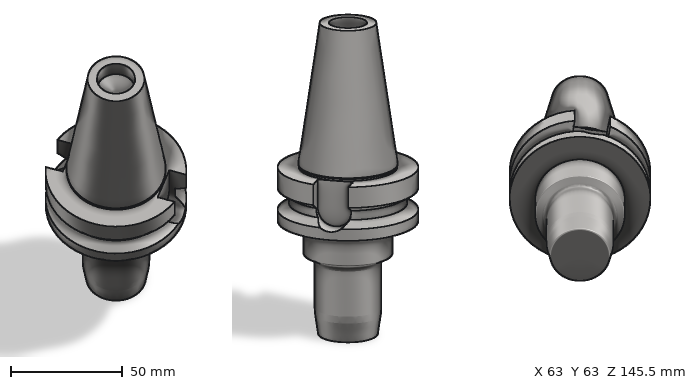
import cadquery as cq
import math


taper_length = 65.5
gauge_radius = 22.2
taper_tip_radius = gauge_radius - taper_length * 7 / 48

neck_radius = 44.0 / 2
gauge_land_bottom = -0.5
neck_top = -1.0
flange_radius = 63.0 / 2
flange_top = -1.9
flange_bottom = -26.9
groove_radius = 26.5
groove_half_width = 5.02
groove_middle = -16.6
groove_floor_half_width = groove_half_width - (flange_radius - groove_radius) * math.tan(math.radians(30))

hub_radius = 40.0 / 2
hub_bottom = -42.2
hub_edge_round = 0.7
shoulder_angle = math.radians(25)
shoulder_round = 2.6
nose_radius = 30.0 / 2
shoulder_bottom = hub_bottom - (hub_radius - nose_radius) * math.tan(shoulder_angle)
nose_cone_top = -68.9
nose_cone_round = 23.3
nose_bottom = -80.0
nose_tip_radius = 13.4
nose_tip_round = 0.9

slot_width = 16.1
slot_face_distance = 22.4
slot_bottom = -23.1

bore_diameter = 17.0
bore_depth = 7.7
seat_diameter = 14.0
seat_depth = 8.3
bottom_half_angle = math.radians(70)


def make_body():
    """Revolved outer shape of the holder."""
    outline = [
        (0, taper_length),
        (taper_tip_radius, taper_length),
        (gauge_radius, 0),
        (gauge_radius, gauge_land_bottom),
        (neck_radius, neck_top),
        (neck_radius, flange_top),
        (flange_radius, flange_top),
        (flange_radius, groove_middle + groove_half_width),
        (groove_radius, groove_middle + groove_floor_half_width),
        (groove_radius, groove_middle - groove_floor_half_width),
        (flange_radius, groove_middle - groove_half_width),
        (flange_radius, flange_bottom),
        (hub_radius, flange_bottom),
        (hub_radius, hub_bottom),
        (nose_radius, shoulder_bottom),
        (nose_radius, nose_cone_top),
        (nose_tip_radius, nose_bottom),
        (0, nose_bottom),
    ]
    body = cq.Workplane("XZ").polyline(outline).close().revolve(360, (0, 0), (0, 1))
    rounds = [
        (hub_bottom, hub_edge_round),
        (shoulder_bottom, shoulder_round),
        (nose_cone_top, nose_cone_round),
        (nose_bottom, nose_tip_round),
    ]
    for height, radius in rounds:
        body = round_edge_at(body, height, radius)
    return body


def round_edge_at(body, height, radius):
    """Round the circular edge lying at the given height."""
    margin = 0.07
    reach = 2 * flange_radius
    edge_zone = cq.selectors.BoxSelector(
        (-reach, -reach, height - margin), (reach, reach, height + margin), boundingbox=True
    )
    return body.edges("%CIRCLE").edges(edge_zone).fillet(radius)


def make_slot(side):
    """Round-ended drive slot, open at the flange top; side is +1 or -1 along X."""
    half_width = slot_width / 2
    arc_centre = slot_bottom + half_width
    return (
        cq.Workplane("YZ", origin=(side * slot_face_distance, 0, 0))
        .moveTo(-half_width, 0)
        .lineTo(-half_width, arc_centre)
        .threePointArc((0, slot_bottom), (half_width, arc_centre))
        .lineTo(half_width, 0)
        .close()
        .extrude(side * flange_radius)
    )


def make_bore():
    """Blind bore, narrowed by a bevel above its shallow conical bottom."""
    bore_radius = bore_diameter / 2
    seat_radius = seat_diameter / 2
    point_depth = seat_depth + seat_radius / math.tan(bottom_half_angle)
    outline = [
        (0, taper_length),
        (bore_radius, taper_length),
        (bore_radius, taper_length - bore_depth),
        (seat_radius, taper_length - seat_depth),
        (0, taper_length - point_depth),
    ]
    return cq.Workplane("XZ").polyline(outline).close().revolve(360, (0, 0), (0, 1))


result = make_body().cut(make_bore())
for slot_side in (-1, 1):
    result = result.cut(make_slot(slot_side))